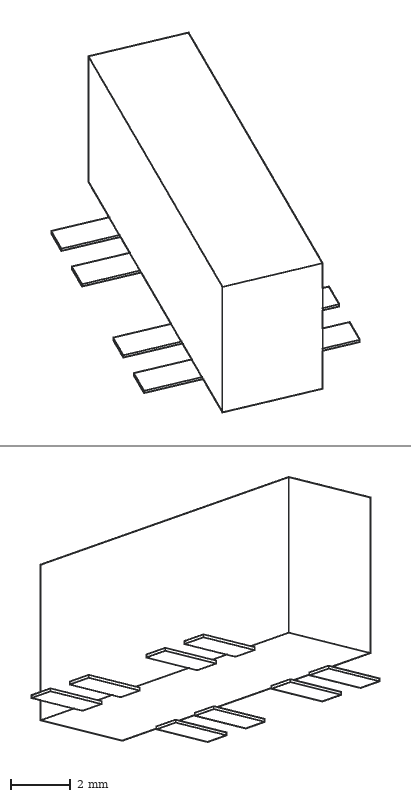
import cadquery as cq

housing_length = 13.0
housing_width = 3.6
housing_height = 5.5

lead_width = 1.0
lead_length = 2.25
lead_thickness = 0.1
lead_pitch = 2.0
lead_tip_span = 7.76
lead_slots = (-2, -1, 1, 2)


def make_housing():
    """Plain block standing on the plane Z = 0."""
    return cq.Workplane("XY").box(
        housing_length, housing_width, housing_height, centered=(True, True, False)
    )


def make_lead(slot, side):
    """Flat strip hanging below Z = 0; side is -1 or +1 along Y."""
    center_y = side * (lead_tip_span - lead_length) / 2
    return (
        cq.Workplane("XY")
        .box(lead_width, lead_length, lead_thickness, centered=(True, True, False))
        .translate((slot * lead_pitch, center_y, -lead_thickness))
    )


housing = make_housing()
leads = [make_lead(slot, side) for side in (-1, 1) for slot in lead_slots]

result = cq.Compound.makeCompound([housing.val(), *[lead.val() for lead in leads]])